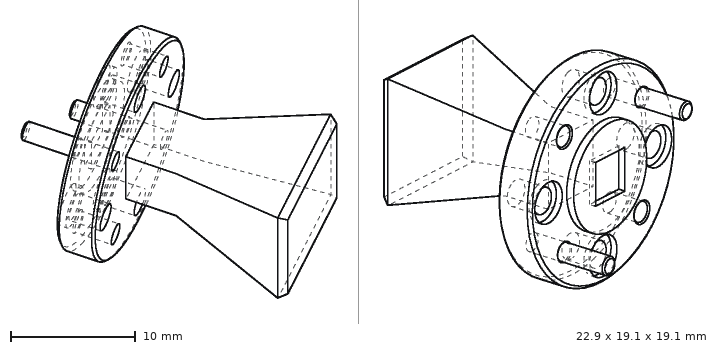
import cadquery as cq
import math


flange_diameter = 19.05
flange_thickness = 3.32
front_chamfer = 0.3
back_chamfer = 0.23
boss_diameter = flange_diameter / 2
boss_height = 0.7

pitch_radius = 7.13
screw_hole_diameter = 2.3
counterbore_diameter = 3.58
counterbore_depth = 0.6
guide_hole_diameter = 1.77
guide_hole_chamfer = 0.14

waveguide_width = 5.82
waveguide_length = 4.38
horn_mouth_width = 11.08
horn_length = 9.9
lip_length = 0.7
lip_end_width = 10.23
port_width = 3.83
port_depth = 0.62

pin_diameter = 1.6
pin_protrusion = 4.6
pin_chamfer = 0.15
pin_seat_chamfer = 0.1

boss_face = -boss_height
waveguide_end = flange_thickness + waveguide_length
horn_mouth = waveguide_end + horn_length

SCREW_ANGLES = (0, 90, 180, 270)
GUIDE_HOLE_ANGLES = (45, 225)
PIN_ANGLES = (135, 315)


def section(x):
    """Workplane across the axis at station x, with local axes Y and Z."""
    return cq.Workplane("YZ", origin=(x, 0, 0))


def on_pitch_circle(angle):
    """Y and Z of a point on the pitch circle."""
    turn = math.radians(angle)
    return pitch_radius * math.cos(turn), pitch_radius * math.sin(turn)


def cylinder(angle, diameter, start, end):
    """Cylinder along X, centred on the pitch circle."""
    return section(start).center(*on_pitch_circle(angle)).circle(diameter / 2).extrude(end - start)


def taper(start_width, end_width, start, length):
    """Square frustum along X."""
    return (
        section(start)
        .rect(start_width, start_width)
        .workplane(offset=length)
        .rect(end_width, end_width)
        .loft(ruled=True)
    )


def chamfered_hole(angle, diameter, chamfer):
    """Cutter for a through hole with a chamfered front edge."""
    bore = cylinder(angle, diameter, 0, flange_thickness)
    countersink = (
        section(0)
        .center(*on_pitch_circle(angle))
        .circle(diameter / 2 + chamfer)
        .workplane(offset=chamfer)
        .circle(diameter / 2)
        .loft()
    )
    return bore.union(countersink)


def make_flange():
    """Round flange with its raised boss and all its holes."""
    flange = section(0).circle(flange_diameter / 2).extrude(flange_thickness)
    flange = flange.faces("<X").chamfer(front_chamfer)
    flange = flange.faces(">X").chamfer(back_chamfer)
    flange = flange.union(section(boss_face).circle(boss_diameter / 2).extrude(boss_height))
    for angle in SCREW_ANGLES:
        flange = flange.cut(cylinder(angle, screw_hole_diameter, 0, flange_thickness))
        flange = flange.cut(cylinder(angle, counterbore_diameter, 0, counterbore_depth))
    for angle in GUIDE_HOLE_ANGLES:
        flange = flange.cut(chamfered_hole(angle, guide_hole_diameter, guide_hole_chamfer))
    for angle in PIN_ANGLES:
        flange = flange.cut(chamfered_hole(angle, pin_diameter, pin_seat_chamfer))
    return flange


def make_horn_antenna():
    """Flange, waveguide and flared horn in one piece, with a square port in the boss."""
    waveguide = section(flange_thickness).rect(waveguide_width, waveguide_width).extrude(waveguide_length)
    flare = taper(waveguide_width, horn_mouth_width, waveguide_end, horn_length)
    lip = taper(horn_mouth_width, lip_end_width, horn_mouth, lip_length)
    port = section(boss_face).rect(port_width, port_width).extrude(port_depth)
    return make_flange().union(waveguide).union(flare).union(lip).cut(port)


def make_pin(angle):
    """Alignment pin seated through the flange, with a chamfered tip."""
    pin = cylinder(angle, pin_diameter, -pin_protrusion, flange_thickness)
    return pin.faces("<X").chamfer(pin_chamfer)


horn_antenna = make_horn_antenna()
pins = [make_pin(angle) for angle in PIN_ANGLES]

result = cq.Compound.makeCompound([horn_antenna.val(), *[pin.val() for pin in pins]])